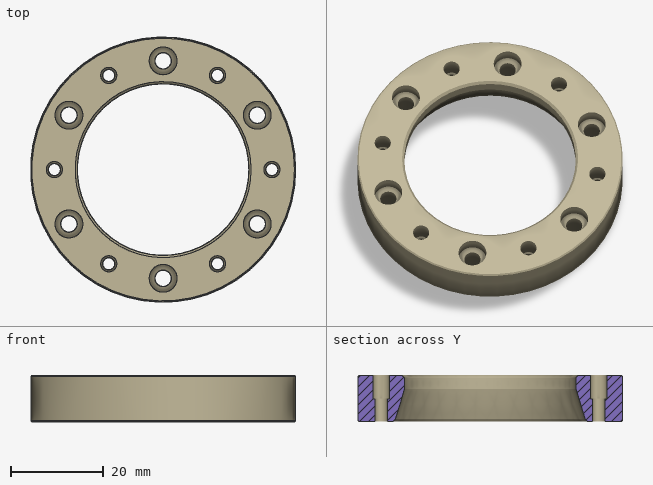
import cadquery as cq

outer_diameter = 57.3
height = 10.0
rim_chamfer = 0.3

bore_diameter = 37.0
bore_chamfer = 0.5
land_bottom_depth = 3.0
bottom_mouth_diameter = 42.0

pitch_radius = 23.5
holes_per_set = 6
hole_spacing = 360.0 / holes_per_set
large_hole_diameter = 3.5
large_counterbore_diameter = 6.0
large_counterbore_depth = 3.0
small_hole_diameter = 2.6
small_counterbore_diameter = 3.5
small_counterbore_depth = height / 2


def make_ring():
    """Revolve the ring section, including the bore, about the Z axis."""
    outer_radius = outer_diameter / 2
    bore_radius = bore_diameter / 2
    bottom_mouth_radius = bottom_mouth_diameter / 2
    section = [
        (bottom_mouth_radius - bore_chamfer, bore_chamfer),
        (bottom_mouth_radius, 0),
        (outer_radius - rim_chamfer, 0),
        (outer_radius, rim_chamfer),
        (outer_radius, height - rim_chamfer),
        (outer_radius - rim_chamfer, height),
        (bore_radius + bore_chamfer, height),
        (bore_radius, height - bore_chamfer),
        (bore_radius, height - land_bottom_depth),
    ]
    return cq.Workplane("XZ").polyline(section).close().revolve(360, (0, 0), (0, 1))


def cut_stepped_holes(body, start_angle, diameter, counterbore_diameter, counterbore_depth):
    """Cut one evenly spaced set of through holes counterbored from the top."""
    return (
        body.copyWorkplane(cq.Workplane("XY", origin=(0, 0, height)))
        .polarArray(pitch_radius, start_angle, 360, holes_per_set)
        .cboreHole(diameter, counterbore_diameter, counterbore_depth)
    )


result = make_ring()
result = cut_stepped_holes(
    result, hole_spacing / 2, large_hole_diameter, large_counterbore_diameter, large_counterbore_depth
)
result = cut_stepped_holes(
    result, 0, small_hole_diameter, small_counterbore_diameter, small_counterbore_depth
)